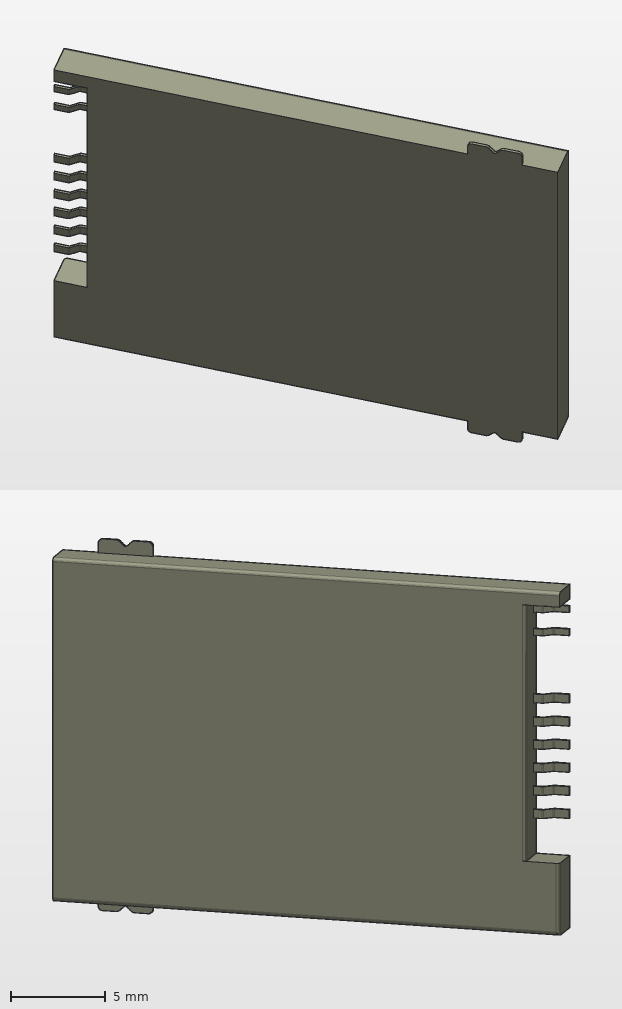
import cadquery as cq

length = 27.85
thickness = 1.95
height = 18.65
half_height = height / 2
back_radius = 0.2

notch_depth = 1.85
lip_height = 0.8
foot_height = 3.93
notch_top = half_height - lip_height
notch_bottom = foot_height - half_height

tail_thickness = 0.17
tail_rise = 0.42
ramp_start = 0.84
ramp_end = 1.3
bend_radius = 0.1
tail_embed = 0.28
pitch = 1.25
signal_count = 6
signal_width = 0.47
switch_count = 2
switch_width = 0.35
switch_top_z = 8.0

overall_height = 20.2
tab_reach = (overall_height - height) / 2
tab_center = 24.37
tab_width = 3.0
tab_thickness = 0.17
tab_corner_radius = 0.25
tab_embed = 0.28
vee_width = 0.8
vee_depth = 0.35
vee_mouth_radius = 0.28
vee_root_radius = 0.08


def housing():
    body = cq.Workplane("XY").box(length, thickness, height, centered=(False, False, True))
    notch = (
        cq.Workplane("XY", origin=(0, 0, notch_bottom))
        .box(notch_depth, thickness, notch_top - notch_bottom, centered=False)
    )
    body = body.cut(notch)

    back_edges = body.faces(">Y").edges()
    long_edges = back_edges.edges(">Z or <Z")
    notch_wall_edge = back_edges.edges(cq.NearestToPointSelector((notch_depth, thickness, 0)))
    foot_end_edge = back_edges.edges(
        cq.NearestToPointSelector((0, thickness, notch_bottom - foot_height / 2))
    )
    rounded = long_edges.add(notch_wall_edge).add(foot_end_edge).vals()
    return body.newObject(rounded).fillet(back_radius)


def contact_tail(center_z, width):
    shank_end = notch_depth + tail_embed
    lower_side = [(0, 0), (ramp_start, 0), (ramp_end, tail_rise), (shank_end, tail_rise)]
    upper_side = [(x, y + tail_thickness) for x, y in reversed(lower_side)]
    bends = cq.selectors.BoxSelector(
        (ramp_start / 2, -thickness, -width),
        (notch_depth, thickness, width),
    )
    return (
        cq.Workplane("XY")
        .polyline(lower_side + upper_side)
        .close()
        .extrude(width / 2, both=True)
        .edges("|Z")
        .edges(bends)
        .fillet(bend_radius)
        .translate((0, 0, center_z))
    )


def top_tab():
    tip = half_height + tab_reach
    root = half_height - tab_embed
    half_tab = tab_width / 2
    half_vee = vee_width / 2
    vee_bottom = (0, tip - vee_depth)
    vee_mouth = [(-half_vee, tip), (half_vee, tip)]
    tip_corners = [(-half_tab, tip), (half_tab, tip)]
    outline = [
        (-half_tab, root),
        tip_corners[0],
        vee_mouth[0],
        vee_bottom,
        vee_mouth[1],
        tip_corners[1],
        (half_tab, root),
    ]
    tab = cq.Workplane("XZ").polyline(outline).close().extrude(-tab_thickness)

    def round_corners(solid, corners, radius):
        for x, z in corners:
            corner = cq.NearestToPointSelector((x, tab_thickness / 2, z))
            solid = solid.edges("|Y").edges(corner).fillet(radius)
        return solid

    tab = round_corners(tab, tip_corners, tab_corner_radius)
    tab = round_corners(tab, vee_mouth, vee_mouth_radius)
    tab = round_corners(tab, [vee_bottom], vee_root_radius)
    return tab.translate((tab_center, 0, 0))


result = housing()

for index in range(signal_count):
    center_z = (index - (signal_count - 1) / 2) * pitch
    result = result.union(contact_tail(center_z, signal_width))
for index in range(switch_count):
    center_z = switch_top_z - index * pitch
    result = result.union(contact_tail(center_z, switch_width))

tab = top_tab()
result = result.union(tab).union(tab.mirror("XY"))